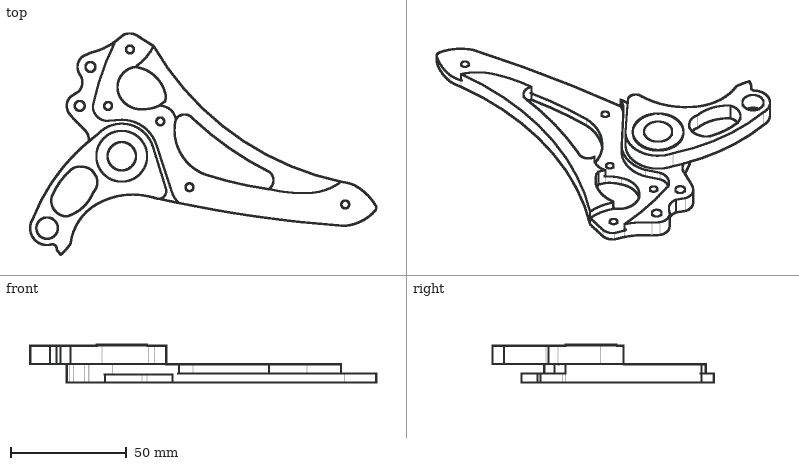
import cadquery as cq
import math

FLOOR_Z = 4.0
PLATE_Z = 8.0
LEVER_Z = 16.0
BOSS_HEIGHT = 0.5
RECESS_DEPTH = 3.5

PIVOT = (0.0, 0.0)
BORE_RADIUS = 6.1
BOSS_RADIUS = 11.0
HUB_RADIUS = 14.1
FLOOR_GAP = 1.7
RECESS_RADIUS = 9.9

EAR = (-32.3, -31.1)
EAR_RADIUS = 7.4
EAR_BORE_RADIUS = 4.6

SCREW_RADIUS = 1.65
SCREWS = [(3.56, 46.2), (-5.93, 21.8), (16.67, 15.1), (29.3, -13.4), (96.7, -20.85)]
LUG_BORE_RADIUS = 2.1
LUG_RADIUS = 5.65
UPPER_LUG = (-13.56, 38.65)
LOWER_LUG = (-18.2, 21.8)

RIB_TOP = (13.8, 47.7)
RIB_TIP = (94.9, -11.0)
RIB_AT_UPPER_WINDOW = (6.3, 39.0)
RIB_BELOW_UPPER_WINDOW = (16.1, 21.9)
RIB_AT_LONG_WINDOW = (23.4, 15.9)
RIB_END_OF_LONG_WINDOW = (63.6, -14.2)

FLOOR_CORNER = (-2.8, 49.7)

LOWER_EDGE_START = (-3.9, -13.55)
LOWER_EDGE_MIDDLE = (42.7, -23.7)
LOWER_EDGE_END = (96.3, -30.2)


def on_circle(center, radius, degrees):
    """Point on a circle at an angle from +X."""
    angle = math.radians(degrees)
    return (center[0] + radius * math.cos(angle), center[1] + radius * math.sin(angle))


def closed_outline(z, start, segments):
    """Closed wire at height z: one point makes a line, two points (middle, end) make an arc."""
    path = cq.Workplane("XY").workplane(offset=z).moveTo(*start)
    for segment in segments:
        if len(segment) == 1:
            path = path.lineTo(*segment[0])
        else:
            path = path.threePointArc(*segment)
    return path.close()


def cylinder(center, radius, bottom, top):
    return cq.Workplane("XY").workplane(offset=bottom).center(*center).circle(radius).extrude(top - bottom)


def through_holes(centers, radius):
    holes = cq.Workplane("XY").pushPoints(centers).circle(radius)
    return holes.extrude(LEVER_Z + BOSS_HEIGHT)


def plate_body():
    """Full-thickness plate: lugs on the left, hub at the pivot, long arm to the right."""
    outline = closed_outline(0, RIB_TOP, [
        [(6.2, 52.5)],
        [(3.5, 53.2), (0.8, 52.6)],
        [FLOOR_CORNER],
        [(-7.1, 47.1), (-13.6, 44.8)],
        [on_circle(UPPER_LUG, LUG_RADIUS, 125)],
        [on_circle(UPPER_LUG, LUG_RADIUS, 170), on_circle(UPPER_LUG, LUG_RADIUS, 215)],
        [(-17.1, 31.8), (-18.6, 28.1)],
        [on_circle(LOWER_LUG, LUG_RADIUS, 135)],
        [on_circle(LOWER_LUG, LUG_RADIUS, 180), on_circle(LOWER_LUG, LUG_RADIUS, 220)],
        [(-20.9, 16.2)],
        [(-16.1, 11.4)],
        [(-14.8, 9.6), (-14.3, 7.2)],
        [on_circle(PIVOT, HUB_RADIUS, 180)],
        [on_circle(PIVOT, HUB_RADIUS, 215), LOWER_EDGE_START],
        [LOWER_EDGE_MIDDLE, LOWER_EDGE_END],
        [(103.6, -28.2), (110.0, -23.2)],
        [(110.21, -21.8)],
        [(105.9, -16.3), (100.5, -12.4)],
        [(97.8, -11.5), RIB_TIP],
        [(47.2, 10.4), RIB_TOP],
    ])
    return outline.extrude(PLATE_Z)


def sunken_floor():
    """Volume removed above the floor, between the lug side and the rib along the upper edge."""
    edge_radius = HUB_RADIUS + FLOOR_GAP
    far_x = 130.0
    far_y = 70.0
    below_plate = -40.0
    outline = closed_outline(FLOOR_Z, FLOOR_CORNER, [
        [(-9.7, 32.6), (-12.5, 21.9)],
        [(-10.8, 17.3), (-6.5, 15.3)],
        [on_circle(PIVOT, edge_radius, 90)],
        [on_circle(PIVOT, edge_radius, 54), on_circle(PIVOT, edge_radius, 18)],
        [(21.5, -14.9)],
        [(22.8, -17.9), (24.9, -20.4)],
        [(24.9, below_plate)],
        [(far_x, below_plate)],
        [(far_x, RIB_TIP[1])],
        [RIB_TIP],
        [(88.5, -14.5), (80.2, -15.9)],
        [(71.5, -15.6), RIB_END_OF_LONG_WINDOW],
        [RIB_AT_LONG_WINDOW],
        [(20.6, 20.5), RIB_BELOW_UPPER_WINDOW],
        [RIB_AT_UPPER_WINDOW],
        [(10.7, 43.0), RIB_TOP],
        [(RIB_TOP[0], far_y)],
        [(FLOOR_CORNER[0], far_y)],
    ])
    return outline.extrude(PLATE_Z - FLOOR_Z)


def upper_window():
    top = (5.9, 38.6)
    outline = closed_outline(0, top, [
        [(-1.8, 29.8), (0.8, 23.6)],
        [(4.2, 21.2), (9.3, 20.4)],
        [(13.0, 20.8), RIB_BELOW_UPPER_WINDOW],
        [(18.7, 23.8)],
        [(19.1, 25.8)],
        [(15.4, 33.6), top],
    ])
    return outline.extrude(PLATE_Z)


def long_window():
    outline = closed_outline(0, RIB_AT_LONG_WINDOW, [
        [(26.6, 18.0), (30.8, 16.2)],
        [(46.6, 3.4), (64.1, -7.0)],
        [(65.6, -10.2), RIB_END_OF_LONG_WINDOW],
        [(49.6, -11.6), (35.9, -7.8)],
        [(26.0, 0.4), RIB_AT_LONG_WINDOW],
    ])
    return outline.extrude(PLATE_Z)


def underside_recess():
    """Round pocket about the pivot, widening to the right, that opens through the lower edge of the plate."""
    left_end = (-7.3, -12.1)
    right_end = (21.9, -19.7)
    outside_y = -30.0
    opening = closed_outline(0, on_circle(PIVOT, RECESS_RADIUS, 195), [
        [left_end],
        [(left_end[0], outside_y)],
        [(right_end[0], outside_y)],
        [right_end],
        [(15.1, -10.2), (11.0, 0.9)],
        [on_circle(PIVOT, RECESS_RADIUS, 28)],
    ])
    return opening.extrude(RECESS_DEPTH).union(cylinder(PIVOT, RECESS_RADIUS, 0, RECESS_DEPTH))


def lever_body():
    """Upper lever: hub at the pivot, curved arm down to the ear, pointed spur beside the ear."""
    outline = closed_outline(PLATE_Z, on_circle(PIVOT, HUB_RADIUS, 137), [
        [(-27.2, -7.0), on_circle(EAR, EAR_RADIUS, 148)],
        [on_circle(EAR, EAR_RADIUS, 210), on_circle(EAR, EAR_RADIUS, 280)],
        [(-29.6, -38.2), (-28.2, -40.4)],
        [(-26.4, -42.7)],
        [(-24.0, -40.3), (-22.1, -37.8)],
        [(-18.5, -28.0), (-8.5, -19.6)],
        [(1.4, -16.8), (11.6, -17.4)],
        [(14.2, -18.0)],
        [(18.1, -17.6), (19.2, -14.3)],
        [on_circle(PIVOT, HUB_RADIUS, 17)],
        [on_circle(PIVOT, HUB_RADIUS, 77), on_circle(PIVOT, HUB_RADIUS, 137)],
    ])
    return outline.extrude(LEVER_Z - PLATE_Z)


def lever_slot():
    upper_left = (-21.8, -5.7)
    outline = closed_outline(PLATE_Z, upper_left, [
        [(-26.8, -11.2), (-30.2, -17.4)],
        [(-29.5, -22.7), (-23.7, -26.0)],
        [(-17.8, -22.9), (-12.4, -15.7)],
        [(-11.9, -7.3), (-17.2, -4.6)],
        [(-19.6, -4.7), upper_left],
    ])
    return outline.extrude(LEVER_Z - PLATE_Z)


plate = plate_body().cut(sunken_floor()).cut(upper_window()).cut(long_window()).cut(underside_recess())
boss = cylinder(PIVOT, BOSS_RADIUS, LEVER_Z, LEVER_Z + BOSS_HEIGHT)
lever = lever_body().cut(lever_slot()).union(boss)

result = plate.union(lever)
result = result.cut(through_holes([PIVOT], BORE_RADIUS))
result = result.cut(through_holes([EAR], EAR_BORE_RADIUS))
result = result.cut(through_holes(SCREWS, SCREW_RADIUS))
result = result.cut(through_holes([UPPER_LUG, LOWER_LUG], LUG_BORE_RADIUS))